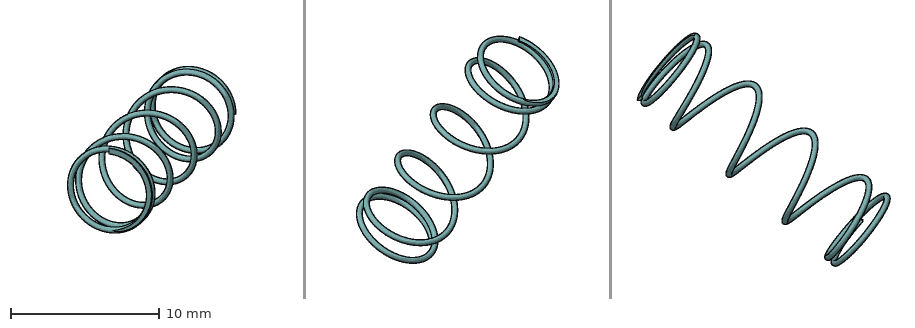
import cadquery as cq
import math

outer_diameter = 6.1
wire_diameter = 0.41
free_length = 17.53

closed_turns = 1.0
transition_turns = 1.0
open_turns = 2.25
coil_gap = 0.01

wire_radius = wire_diameter / 2
coil_radius = outer_diameter / 2 - wire_radius
closed_pitch = wire_diameter + coil_gap

end_turns = closed_turns + transition_turns
total_turns = 2 * end_turns + open_turns
closed_pitch_share = 2 * closed_turns + transition_turns
open_pitch_share = open_turns + transition_turns
open_pitch = (free_length - closed_pitch_share * closed_pitch) / open_pitch_share

closed_start_y = -free_length / 2
transition_start_y = closed_start_y + closed_turns * closed_pitch
open_start_y = -open_turns * open_pitch / 2

curve_points_per_turn = 24


def radial_direction(turn):
    """Unit vector from the spring axis to the wire; turn 0 points up (+Z)."""
    angle = 2 * math.pi * turn
    return cq.Vector(math.sin(angle), 0, math.cos(angle))


def sweep_wire(centreline):
    """Sweep the round wire section along a centreline."""
    start = centreline.startPoint()
    section_plane = cq.Plane(
        origin=start,
        xDir=(start.x, 0, start.z),
        normal=centreline.tangentAt(0),
    )
    section = cq.Workplane(section_plane).circle(wire_radius)
    return section.sweep(cq.Workplane(centreline), isFrenet=True)


def constant_pitch_coil(start_turn, start_y, turns, pitch):
    """Right-handed helical stretch of wire with an even pitch."""
    centreline = cq.Wire.makeHelix(pitch, turns * pitch, coil_radius)
    placement = cq.Plane(
        origin=(0, start_y, 0),
        xDir=radial_direction(start_turn),
        normal=(0, 1, 0),
    )
    return sweep_wire(centreline.moved(cq.Location(placement)))


def transition_coil():
    """Stretch of wire whose pitch grows linearly from closed to open."""
    pitch_growth = (open_pitch - closed_pitch) / transition_turns

    def centre_point(turn):
        y = transition_start_y + closed_pitch * turn + pitch_growth * turn**2 / 2
        return radial_direction(closed_turns + turn) * coil_radius + cq.Vector(0, y, 0)

    def tangent(turn, pitch):
        quarter_turn_ahead = radial_direction(closed_turns + turn + 1 / 4)
        return quarter_turn_ahead * (2 * math.pi * coil_radius) + cq.Vector(0, pitch, 0)

    steps = round(transition_turns * curve_points_per_turn)
    turns = [transition_turns * i / steps for i in range(steps + 1)]
    edge = cq.Edge.makeSpline(
        [centre_point(turn) for turn in turns],
        tangents=[tangent(0, closed_pitch), tangent(transition_turns, open_pitch)],
        parameters=turns,
        scale=False,
    )
    return sweep_wire(cq.Wire.assembleEdges([edge]))


def ground_closed_coil():
    """Closed coil at the -Y end, cut flat on the end plane."""
    coil = constant_pitch_coil(0, closed_start_y, closed_turns, closed_pitch)
    ground_away = cq.Workplane("XY").box(
        2 * outer_diameter,
        wire_diameter,
        2 * outer_diameter,
    )
    return coil.cut(ground_away.translate((0, closed_start_y - wire_radius, 0)))


def make_spring():
    """Join the open coils with both ends.

    A half turn about the radial line through the middle of the wire maps one end onto the other.
    """
    near_end = [ground_closed_coil(), transition_coil()]
    symmetry_axis = radial_direction(total_turns / 2)
    far_end = [coil.rotate((0, 0, 0), symmetry_axis.toTuple(), 180) for coil in near_end]

    spring = constant_pitch_coil(end_turns, open_start_y, open_turns, open_pitch)
    for coil in near_end[::-1] + far_end[::-1]:
        spring = spring.union(coil)
    return cq.Workplane(spring.solids().val())


result = make_spring()